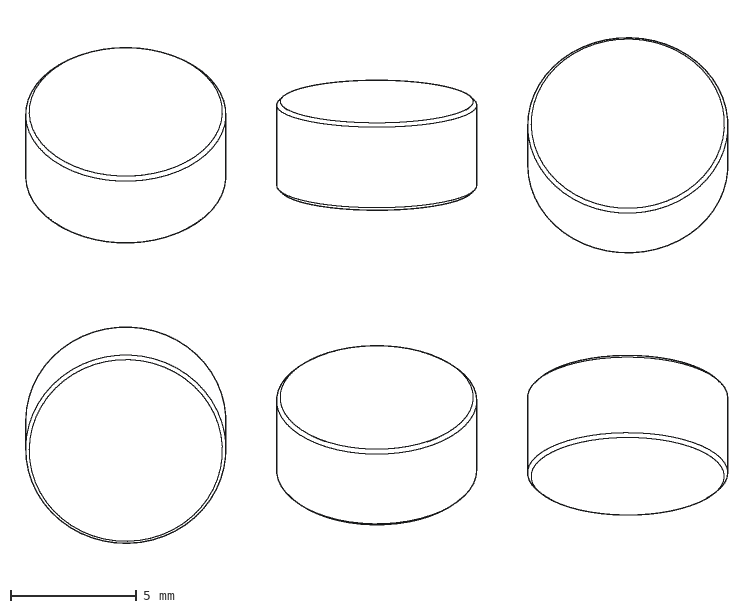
import cadquery as cq

diameter = 8.0
height = 3.58
edge_chamfer = 0.14

dish_depth = 1.56
rim_radius = diameter / 2 - edge_chamfer
sphere_radius = (rim_radius**2 + dish_depth**2) / (2 * dish_depth)
sphere_center_z = height - dish_depth + sphere_radius


def chamfered_cylinder():
    """Upright cylinder standing on Z = 0, chamfered at both ends."""
    cylinder = cq.Workplane("XY").circle(diameter / 2).extrude(height)
    return cylinder.edges("%CIRCLE").chamfer(edge_chamfer)


def dish_cutter():
    """Sphere that hollows the top face into a shallow dish."""
    sphere = cq.Workplane("XZ").sphere(sphere_radius)
    return sphere.translate((0, 0, sphere_center_z))


result = chamfered_cylinder().cut(dish_cutter())